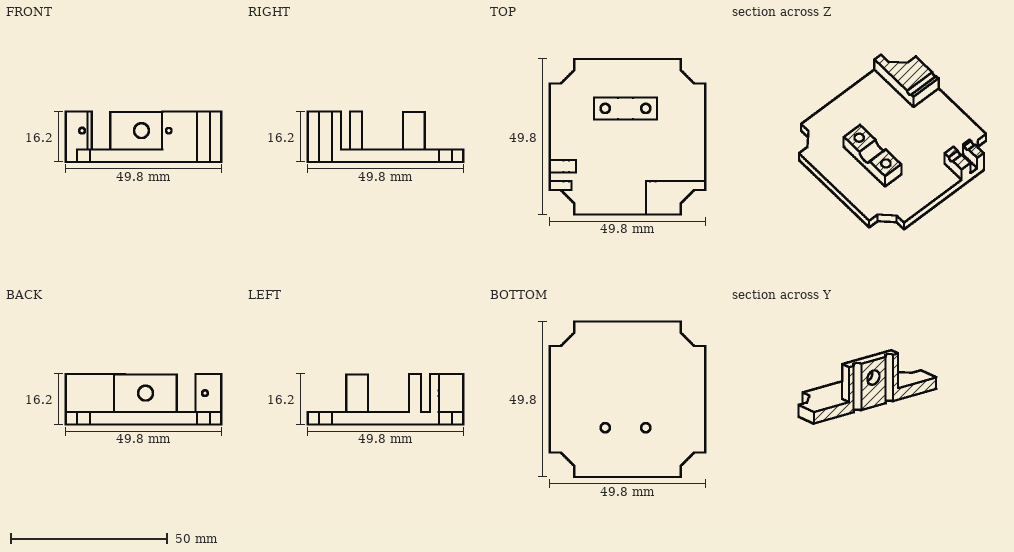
import cadquery as cq

plate_size = 49.8
plate_thickness = 4.1
notch_depth = 7.85
notch_straight = 3.6
total_height = 16.2

block_left, block_front = 14.25, 30.5
block_length, block_width, block_height = 20.0, 6.95, 11.95
bolt_hole_diameter = 2.9
bolt_hole_spacing = 12.95
cross_hole_diameter = 4.7
axis_height = 10.05

front_tab_length, front_tab_width = 6.95, 2.9
rear_tab_length, rear_tab_width = 8.35, 3.9
rear_tab_front = 13.55
pin_hole_diameter = 1.8
tab_pin_x = 5.3

corner_block_left = 30.85
corner_block_rear = notch_depth + front_tab_width
corner_pin_x = 32.95


def box(x, y, z, length, width, height):
    """Box with its lowest left front corner at (x, y, z)."""
    return cq.Workplane("XY").box(length, width, height, centered=False).translate((x, y, z))


def hole_along_y(x, diameter, y_start, y_end):
    """Cylinder parallel to Y at the shared axis height."""
    start = cq.Vector(x, y_start, axis_height)
    cylinder = cq.Solid.makeCylinder(diameter / 2, y_end - y_start, start, cq.Vector(0, 1, 0))
    return cq.Workplane("XY").newObject([cylinder])


def corner_notches():
    """Cutters for the four corners, each a square with its inner corner bevelled."""
    notch = (
        cq.Workplane("XY")
        .polyline([
            (0, 0),
            (notch_depth, 0),
            (notch_depth, notch_straight),
            (notch_straight, notch_depth),
            (0, notch_depth),
        ])
        .close()
        .extrude(total_height)
    )
    middle = plate_size / 2
    cutters = notch
    for angle in (90, 180, 270):
        cutters = cutters.union(notch.rotate((middle, middle, 0), (middle, middle, 1), angle))
    return cutters


plate = box(0, 0, 0, plate_size, plate_size, plate_thickness)
corner_block = box(corner_block_left, 0, 0, plate_size - corner_block_left, corner_block_rear, total_height)
body = plate.union(corner_block).cut(corner_notches())

front_tab = box(0, notch_depth, 0, front_tab_length, front_tab_width, total_height)
rear_tab = box(0, rear_tab_front, 0, rear_tab_length, rear_tab_width, total_height)
block = box(block_left, block_front, plate_thickness, block_length, block_width, block_height)
body = body.union(front_tab).union(rear_tab).union(block)

block_middle_x = block_left + block_length / 2
block_middle_y = block_front + block_width / 2
for side in (-1, 1):
    bolt_x = block_middle_x + side * bolt_hole_spacing / 2
    bolt_hole = cq.Workplane("XY").center(bolt_x, block_middle_y).circle(bolt_hole_diameter / 2)
    body = body.cut(bolt_hole.extrude(total_height))

body = body.cut(hole_along_y(block_middle_x, cross_hole_diameter, block_front, block_front + block_width))
body = body.cut(hole_along_y(tab_pin_x, pin_hole_diameter, 0, rear_tab_front + rear_tab_width))
body = body.cut(hole_along_y(corner_pin_x, pin_hole_diameter, 0, corner_block_rear))

result = body